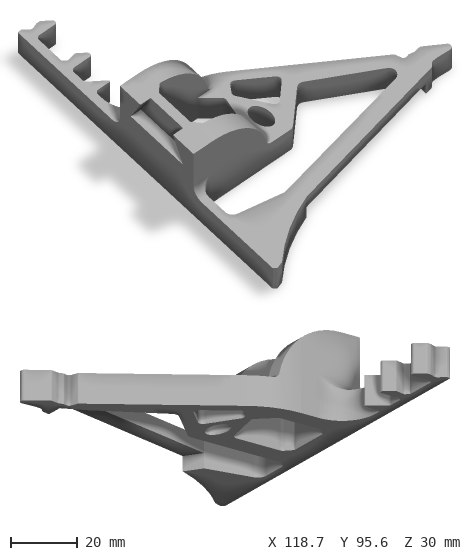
import cadquery as cq
import math

PLATE_THICKNESS = 10.0
BLOCK_HEIGHT = 30.0
BLOCK_HALF_WIDTH = 17.0
BLOCK_BASE_FILLET = 4.0
DOME_TANGENT_Y = 7.2
DOME_RADIUS = 22.0
DOME_BASE_FILLET = 2.0

LEFT_END_X = -64.25
RIGHT_TIP_X = 54.4
BACK_TIP_Y = 95.57
BAR_WIDTH = 3.0
BAR_CORNER_RADIUS = 3.0

TOOTH_TIP_Y = 11.2
HOOK_FACES_X = (-59.15, -43.05)
HOOK_BARB_REACH = 3.95
HOOK_NECK_WIDTH = 3.25
TOOTH_ROOT_RADIUS = 1.3
HOOK_TIP_RADIUS = 0.75

LUG_INNER_FACES_X = (-10.2, 9.8)
LUG_OPENING_CHAMFER = 2.7

DOVETAIL_DEPTH = 4.0
DOVETAIL_FLOOR_Z = 20.0
DOVETAIL_FLOOR_HALF_WIDTH = 12.0
DOVETAIL_MOUTH_HALF_WIDTH = 7.5

ARM_UNDERCUT_HEIGHT = 5.0

OVAL_CENTRE = (7.5, 34.85)
OVAL_SEMI_AXES = (4.85, 3.0)
OVAL_TILT = 8.0


def rounded_path(work, corners):
    """Draw through corners (x, y, radius), rounding every corner but the first and last."""
    work = work.moveTo(*corners[0][:2])
    for before, corner, after in zip(corners, corners[1:], corners[2:]):
        x, y, radius = corner
        if radius == 0:
            work = work.lineTo(x, y)
            continue
        angle_in = math.atan2(before[1] - y, before[0] - x)
        angle_out = math.atan2(after[1] - y, after[0] - x)
        half_angle = abs(math.remainder(angle_out - angle_in, math.tau)) / 2
        tangent_length = radius / math.tan(half_angle)
        middle_length = radius / math.sin(half_angle) - radius
        bisector = angle_in + math.remainder(angle_out - angle_in, math.tau) / 2
        start = (x + tangent_length * math.cos(angle_in), y + tangent_length * math.sin(angle_in))
        middle = (x + middle_length * math.cos(bisector), y + middle_length * math.sin(bisector))
        end = (x + tangent_length * math.cos(angle_out), y + tangent_length * math.sin(angle_out))
        work = work.lineTo(*start).threePointArc(middle, end)
    return work.lineTo(*corners[-1][:2])


def rounded_opening(corners):
    """Full-height cutter whose outline is a closed polygon of (x, y, radius) corners."""
    first, last = corners[0], corners[-1]
    seam = ((first[0] + last[0]) / 2, (first[1] + last[1]) / 2, 0)
    path = rounded_path(cq.Workplane("XY"), [seam, *corners, seam])
    return path.close().extrude(BLOCK_HEIGHT)


def hook_upper_corners(face_x, barb_radius):
    """Corners of a barbed hook from its barb, over the tip, to the root of its straight face."""
    barb_x = face_x - HOOK_BARB_REACH
    return [
        (barb_x, 7.8, barb_radius),
        (face_x - 1.5, TOOTH_TIP_Y, HOOK_TIP_RADIUS),
        (face_x, TOOTH_TIP_Y, HOOK_TIP_RADIUS),
        (face_x, BAR_WIDTH, TOOTH_ROOT_RADIUS),
    ]


def plan_outline():
    """Silhouette of the part: comb bar, left arm, back tip, right arm and scooped foot."""
    end_hook_x, inner_hook_x = HOOK_FACES_X
    foot_top = (53.6, 3.6)
    flank_middle = (45.5, 13.45)
    flank_top = (39.5, 25.4)
    foot = [
        (*foot_top, 0),
        (RIGHT_TIP_X, 1.2, 0),
        (53.6, 0, 0),
    ]
    bar_end = [
        (LEFT_END_X, 0, 0.5),
        (LEFT_END_X, 1.4, 0.4),
        (end_hook_x - HOOK_NECK_WIDTH + 0.2, 4.0, 1.2),
        (end_hook_x - HOOK_BARB_REACH, 6.5, 0.8),
    ]
    inner_hook_root = [
        (inner_hook_x - HOOK_NECK_WIDTH - 1.1, BAR_WIDTH, 0),
        (inner_hook_x - HOOK_NECK_WIDTH, 4.4, 0.7),
    ]
    small_tooth_x = -31.95
    small_tooth = [
        (small_tooth_x - 5.0, BAR_WIDTH, 1.0),
        (small_tooth_x, 9.8, 0.35),
        (small_tooth_x, BAR_WIDTH, TOOTH_ROOT_RADIUS),
    ]
    left_arm = [
        (-BLOCK_HALF_WIDTH, BAR_WIDTH, 12.0),
        (-BLOCK_HALF_WIDTH, 30.5, 30.0),
        (15.5, 80.45, 0.6),
    ]
    back_tip = [
        (18.8, 81.6, 1.2),
        (18.25, 83.7, 0.5),
        (18.65, 85.5, 1.0),
        (18.25, 88.2, 0.3),
        (25.25, 99.1, 1.28),
        (24.75, 89.5, 2.0),
        (24.9, 87.3, 1.0),
        (26.5, 85.8, 1.0),
    ]
    corners = [
        *foot,
        *bar_end,
        *hook_upper_corners(end_hook_x, 0.9),
        *inner_hook_root,
        *hook_upper_corners(inner_hook_x, 0.3),
        *small_tooth,
        *left_arm,
        *back_tip,
        (*flank_top, 0),
    ]
    return rounded_path(cq.Workplane("XY"), corners).threePointArc(flank_middle, foot_top).close()


def front_envelope():
    """Block and plate as seen along Y, with the fillets where the block meets the plate."""
    corners = [
        (LEFT_END_X, 0, 0),
        (LEFT_END_X, PLATE_THICKNESS, 0),
        (-BLOCK_HALF_WIDTH, PLATE_THICKNESS, BLOCK_BASE_FILLET),
        (-BLOCK_HALF_WIDTH, BLOCK_HEIGHT, 0),
        (BLOCK_HALF_WIDTH, BLOCK_HEIGHT, 0),
        (BLOCK_HALF_WIDTH, PLATE_THICKNESS, BLOCK_BASE_FILLET),
        (RIGHT_TIP_X, PLATE_THICKNESS, 0),
        (RIGHT_TIP_X, 0, 0),
    ]
    return rounded_path(cq.Workplane("XZ"), corners).close().extrude(-BACK_TIP_Y)


def side_envelope():
    """Block and plate as seen along X: flat top, rounded back, small fillet down to the plate."""
    dome_centre_z = BLOCK_HEIGHT - DOME_RADIUS
    fillet_centre_z = PLATE_THICKNESS + DOME_BASE_FILLET
    fillet_rise = fillet_centre_z - dome_centre_z
    centre_distance = DOME_RADIUS + DOME_BASE_FILLET
    fillet_run = math.sqrt(centre_distance**2 - fillet_rise**2)
    fillet_centre_y = DOME_TANGENT_Y + fillet_run
    contact_angle = math.atan2(fillet_rise, fillet_run)
    dome_middle_angle = (contact_angle + math.pi / 2) / 2
    fillet_middle_angle = (math.pi + contact_angle + 1.5 * math.pi) / 2

    def on_dome(angle):
        return (
            DOME_TANGENT_Y + DOME_RADIUS * math.cos(angle),
            dome_centre_z + DOME_RADIUS * math.sin(angle),
        )

    fillet_middle = (
        fillet_centre_y + DOME_BASE_FILLET * math.cos(fillet_middle_angle),
        fillet_centre_z + DOME_BASE_FILLET * math.sin(fillet_middle_angle),
    )
    profile = (
        cq.Workplane("YZ", origin=(LEFT_END_X, 0, 0))
        .moveTo(0, 0)
        .lineTo(0, BLOCK_HEIGHT)
        .lineTo(DOME_TANGENT_Y, BLOCK_HEIGHT)
        .threePointArc(on_dome(dome_middle_angle), on_dome(contact_angle))
        .threePointArc(fillet_middle, (fillet_centre_y, PLATE_THICKNESS))
        .lineTo(BACK_TIP_Y, PLATE_THICKNESS)
        .lineTo(BACK_TIP_Y, 0)
        .close()
    )
    return profile.extrude(RIGHT_TIP_X - LEFT_END_X)


def arm_opening():
    """Large opening between the block and the two arms."""
    return rounded_opening([
        (BLOCK_HALF_WIDTH, BAR_WIDTH, BAR_CORNER_RADIUS),
        (BLOCK_HALF_WIDTH, 39.1, 2.5),
        (4.85, 51.35, 2.4),
        (21.3, 81.35, 2.5),
        (33.95, 21.5, 0),
        (30.5, BAR_WIDTH, BAR_CORNER_RADIUS),
    ])


def web_opening():
    """Four-sided opening in the web behind the block."""
    corner_radius = 1.6
    return rounded_opening([
        (-0.15, 49.6, corner_radius),
        (7.85, 41.6, corner_radius),
        (-4.35, 33.35, corner_radius),
        (-8.9, 36.3, corner_radius),
    ])


def lug_opening():
    """Opening through the plate between the lugs, continued above the plate as a straight slot."""
    left_x, right_x = LUG_INNER_FACES_X
    chamfer = LUG_OPENING_CHAMFER
    slot_start_y = DOME_TANGENT_Y + 2 * chamfer
    slot = (
        cq.Workplane("XY", origin=(0, 0, PLATE_THICKNESS))
        .moveTo(left_x, slot_start_y)
        .lineTo(right_x, slot_start_y)
        .lineTo(right_x, BACK_TIP_Y)
        .lineTo(left_x, BACK_TIP_Y)
        .close()
        .extrude(BLOCK_HEIGHT)
    )
    plate_opening = rounded_opening([
        (left_x + chamfer, DOME_TANGENT_Y, 0),
        (left_x, DOME_TANGENT_Y + chamfer, 1.5),
        (left_x, 24.9, 1.0),
        (-4.8, 31.1, 1.5),
        (right_x, 28.0, 2.0),
        (right_x, DOME_TANGENT_Y + chamfer, 1.5),
        (right_x - chamfer, DOME_TANGENT_Y, 0),
    ])
    return plate_opening.union(slot)


def arm_undercut():
    """Recess under the right arm that leaves only its upper part, from the foot to the back tip."""
    return (
        cq.Workplane("XY")
        .polyline([
            (33.95, 21.5),
            (39.5, 25.4),
            (45.0, 25.4),
            (31.0, 83.0),
            (21.5, 83.0),
            (18.0, 75.5),
        ])
        .close()
        .extrude(ARM_UNDERCUT_HEIGHT)
    )


def oval_opening():
    """Tilted oval opening beside the web opening."""
    return (
        cq.Workplane("XY")
        .ellipse(*OVAL_SEMI_AXES)
        .extrude(BLOCK_HEIGHT)
        .rotate((0, 0, 0), (0, 0, 1), OVAL_TILT)
        .translate((*OVAL_CENTRE, 0))
    )


def dovetail_pocket():
    """Pocket open to the front and top, wider at its floor than at its mouth."""
    return (
        cq.Workplane("XZ")
        .polyline([
            (-DOVETAIL_FLOOR_HALF_WIDTH, DOVETAIL_FLOOR_Z),
            (-DOVETAIL_MOUTH_HALF_WIDTH, BLOCK_HEIGHT),
            (DOVETAIL_MOUTH_HALF_WIDTH, BLOCK_HEIGHT),
            (DOVETAIL_FLOOR_HALF_WIDTH, DOVETAIL_FLOOR_Z),
        ])
        .close()
        .extrude(-DOVETAIL_DEPTH)
    )


body = plan_outline().extrude(BLOCK_HEIGHT).intersect(front_envelope()).intersect(side_envelope())
cutters = (
    arm_opening(),
    web_opening(),
    lug_opening(),
    oval_opening(),
    dovetail_pocket(),
    arm_undercut(),
)
for cutter in cutters:
    body = body.cut(cutter)

result = body